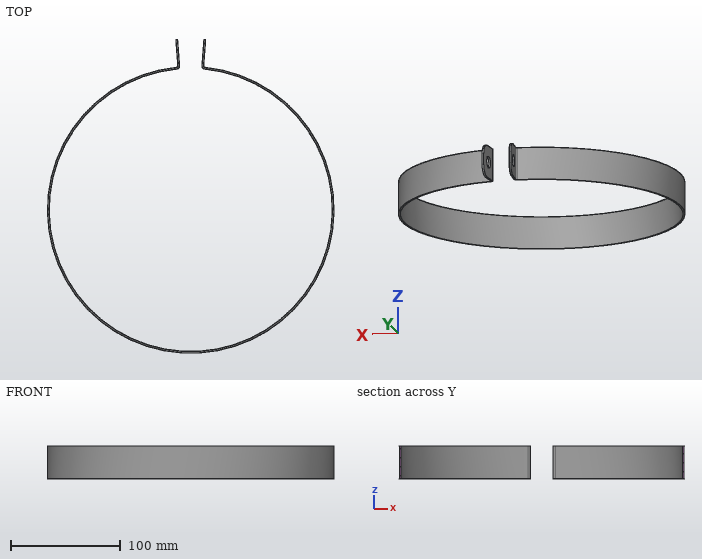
import cadquery as cq
import math

overall_length = 285.8
ring_diameter = 261.3
band_width = 30.0
thickness = 1.7
gap_half_angle = 4.4
bend_inner_radius = 1.1
tab_corner_radius = 10.0
hole_diameter = 10.5
hole_to_tip = 13.1

outer_radius = ring_diameter / 2
inner_radius = outer_radius - thickness
bend_outer_radius = bend_inner_radius + thickness
tip_radius = (overall_length - outer_radius) / math.cos(math.radians(gap_half_angle))
hole_radius_from_axis = tip_radius - hole_to_tip


def open_ring():
    """Flat circular band with a wedge-shaped gap centred on +Y."""
    ring = cq.Workplane("XY").circle(outer_radius).circle(inner_radius).extrude(band_width)
    gap_half_width = overall_length * math.tan(math.radians(gap_half_angle))
    gap = (
        cq.Workplane("XY")
        .polyline([(0, 0), (gap_half_width, overall_length), (-gap_half_width, overall_length)])
        .close()
        .extrude(band_width)
    )
    return ring.cut(gap)


def right_tab():
    """Radial ear on the +X side of the gap, with rounded tip corners and a bolt hole."""
    root_radius = (inner_radius + outer_radius) / 2
    tab = (
        cq.Workplane("XY")
        .box(thickness, tip_radius - root_radius, band_width, centered=False)
        .translate((0, root_radius, 0))
        .edges("|X and >Y")
        .fillet(tab_corner_radius)
    )
    hole = (
        cq.Workplane("YZ")
        .center(hole_radius_from_axis, band_width / 2)
        .circle(hole_diameter / 2)
        .extrude(thickness)
    )
    return tab.cut(hole).rotate((0, 0, 0), (0, 0, 1), -gap_half_angle)


def bend_edge(body, side, across, radius):
    """Vertical edge nearest to a point on one side, 'across' from the tab's inner face."""
    angle = math.radians(gap_half_angle)
    x = side * (across * math.cos(angle) + radius * math.sin(angle))
    y = radius * math.cos(angle) - across * math.sin(angle)
    return body.edges("|Z").edges(cq.selectors.NearestToPointSelector((x, y, band_width / 2)))


tab = right_tab()
result = open_ring().union(tab).union(tab.mirror("YZ"))

for side in (-1, 1):
    result = bend_edge(result, side, thickness, outer_radius).fillet(bend_inner_radius)
    result = bend_edge(result, side, 0, inner_radius).fillet(bend_outer_radius)